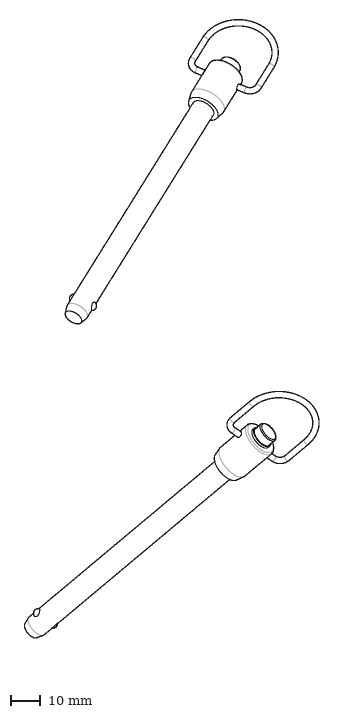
import cadquery as cq
import math

TOTAL_LENGTH = 137.1

SHANK_RADIUS = 4.0
TIP_RADIUS = 3.2
TIP_LENGTH = 2.7

BALL_Y = 7.1
BALL_RADIUS = 1.6
BALL_REACH = 5.0

HANDLE_DIAMETER = 12.8
HANDLE_RADIUS = HANDLE_DIAMETER / 2
HANDLE_START_Y = 97.3
HANDLE_END_Y = 114.3
HANDLE_NOSE_RADIUS = 5.6
HANDLE_NOSE_LENGTH = 3.2
HANDLE_EDGE_FILLET = 0.5

COLLAR_RADIUS = SHANK_RADIUS
COLLAR_LENGTH = 0.8
BUTTON_DIAMETER = 7.3
BUTTON_RADIUS = BUTTON_DIAMETER / 2
BUTTON_END_Y = 118.5
BUTTON_CHAMFER = 0.4

RING_WIDTH = 27.0
WIRE_RADIUS = 1.1
RING_CORNER_RADIUS = 3.2
RING_BASE_Y = 110.8


def cylinder(radius, start_y, end_y):
    """Solid cylinder on the Y axis between two stations."""
    plane = cq.Plane(origin=(0, start_y, 0), xDir=(1, 0, 0), normal=(0, 1, 0))
    return cq.Workplane(plane).circle(radius).extrude(end_y - start_y)


def cone(start_radius, end_radius, start_y, end_y):
    """Solid truncated cone on the Y axis between two stations."""
    return cq.Workplane("XY").add(
        cq.Solid.makeCone(
            start_radius, end_radius, end_y - start_y, pnt=(0, start_y, 0), dir=(0, 1, 0)
        )
    )


def make_shank():
    tip = cone(TIP_RADIUS, SHANK_RADIUS, 0, TIP_LENGTH)
    return tip.union(cylinder(SHANK_RADIUS, TIP_LENGTH, HANDLE_START_Y))


def make_handle():
    nose_end_y = HANDLE_START_Y + HANDLE_NOSE_LENGTH
    nose = cone(HANDLE_NOSE_RADIUS, HANDLE_RADIUS, HANDLE_START_Y, nose_end_y)
    grip = cylinder(HANDLE_RADIUS, nose_end_y, HANDLE_END_Y)
    return nose.union(grip.faces(">Y").edges().fillet(HANDLE_EDGE_FILLET))


def make_button():
    collar = cylinder(COLLAR_RADIUS, HANDLE_END_Y, HANDLE_END_Y + COLLAR_LENGTH)
    button = cylinder(BUTTON_RADIUS, HANDLE_END_Y, BUTTON_END_Y)
    return collar.union(button.faces(">Y").edges().chamfer(BUTTON_CHAMFER))


def make_ball(side):
    center_x = side * (BALL_REACH - BALL_RADIUS)
    return cq.Workplane("XY").sphere(BALL_RADIUS).translate((center_x, BALL_Y, 0))


def make_ring():
    """Wire swept from the handle axis out around the loop and back to the axis."""
    half_width = RING_WIDTH / 2 - WIRE_RADIUS
    corner_x = half_width - RING_CORNER_RADIUS
    corner_y = RING_BASE_Y + RING_CORNER_RADIUS
    corner_mid = RING_CORNER_RADIUS * math.sqrt(0.5)
    top_y = TOTAL_LENGTH - WIRE_RADIUS
    arch_y = top_y - half_width
    path = (
        cq.Workplane("XY")
        .moveTo(0, RING_BASE_Y)
        .lineTo(corner_x, RING_BASE_Y)
        .threePointArc((corner_x + corner_mid, corner_y - corner_mid), (half_width, corner_y))
        .lineTo(half_width, arch_y)
        .threePointArc((0, top_y), (-half_width, arch_y))
        .lineTo(-half_width, corner_y)
        .threePointArc((-corner_x - corner_mid, corner_y - corner_mid), (-corner_x, RING_BASE_Y))
        .lineTo(0, RING_BASE_Y)
    )
    wire_section = cq.Workplane("YZ").center(RING_BASE_Y, 0).circle(WIRE_RADIUS)
    return wire_section.sweep(path)


result = make_shank().union(make_handle()).union(make_button()).union(make_ring())
for side in (-1, 1):
    result = result.union(make_ball(side))